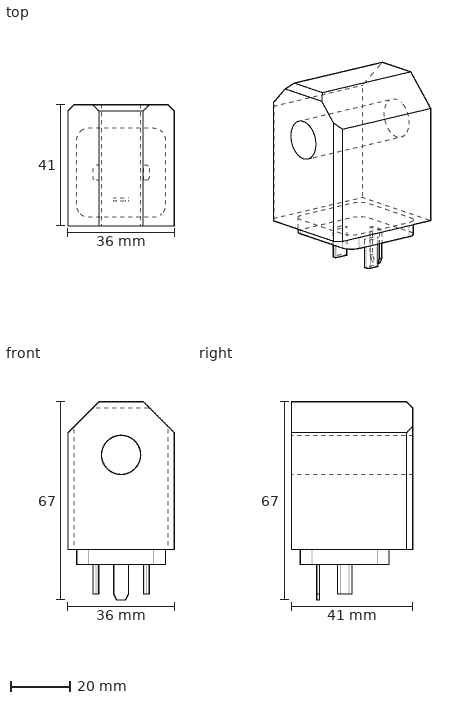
import cadquery as cq

body_width = 36.0
body_depth = 41.0
body_height = 50.0
shoulder = 10.5
rear_chamfer = 2.15

bore_diameter = 13.1
bore_height = body_height - body_width / 2

plate_size = 30.0
plate_height = 5.0
plate_corner_radius = 4
plate_center_y = 18.0

pin_thickness = 2
pin_width = 5.0
pin_length = 10.0
pin_offset = 8.5
pin_outer_radius = 1.0
pin_inner_radius = 0.2

blade_width = 5.0
blade_thickness = 1.0
blade_length = 67 - body_height - plate_height
blade_center_y = 9.05
tip_height = 2
tip_inset = 1.0

overlap = 0.7


def make_body():
    half = body_width / 2
    shoulder_z = body_height - shoulder
    outline = [
        (-half, 0),
        (half, 0),
        (half, shoulder_z),
        (half - shoulder, body_height),
        (shoulder - half, body_height),
        (-half, shoulder_z),
    ]
    body = cq.Workplane("XZ").polyline(outline).close().extrude(-body_depth)
    rear_edges = body.faces(">Y").edges("|Z or >Z")
    body = rear_edges.chamfer(rear_chamfer)
    bore = (
        cq.Workplane("XZ")
        .center(0, bore_height)
        .circle(bore_diameter / 2)
        .extrude(-body_depth)
    )
    return body.cut(bore)


def make_plate():
    return (
        cq.Workplane("XY", origin=(0, plate_center_y, -plate_height))
        .rect(plate_size, plate_size)
        .extrude(plate_height + overlap)
        .edges("|Z")
        .fillet(plate_corner_radius)
    )


def make_pin(side):
    """Contact pin at side -1 or +1, with its larger roundings facing outward."""
    outer, inner = (">X", "<X") if side > 0 else ("<X", ">X")
    return (
        cq.Workplane("XY", origin=(side * pin_offset, plate_center_y, -plate_height - pin_length))
        .rect(pin_thickness, pin_width)
        .extrude(pin_length + overlap)
        .edges(f"|Z and {outer}")
        .fillet(pin_outer_radius)
        .edges(f"|Z and {inner}")
        .fillet(pin_inner_radius)
    )


def make_blade():
    half = blade_width / 2
    top = -plate_height + overlap
    tip = -plate_height - blade_length
    outline = [
        (-half, top),
        (half, top),
        (half, tip + tip_height),
        (half - tip_inset, tip),
        (tip_inset - half, tip),
        (-half, tip + tip_height),
    ]
    return (
        cq.Workplane("XZ", origin=(0, blade_center_y, 0))
        .polyline(outline)
        .close()
        .extrude(blade_thickness / 2, both=True)
    )


result = make_body().union(make_plate()).union(make_blade())
for side in (-1, 1):
    result = result.union(make_pin(side))